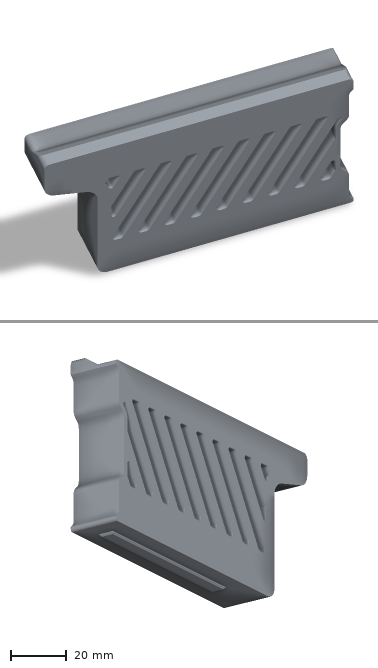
import cadquery as cq
import math

thickness = 20.0
length = 119.0
height = 66.0
ledge_step = 4.0
low_height = height - ledge_step
back_y = length / 2
nose_y = -length / 2

ramp_start_x = 8.9
ramp_end_x = 14.9
ledge_radius = 2.0
low_back_radius = 1.0

wall_y = -39.0
nose_bottom_z = 49.9
nose_root_z = 44.7
nose_tip_radius = 5.0
nose_root_radius = 6.0
bottom_corner_radius = 4.0

back_mid_z = low_height / 2
lip_thickness = 1.8
recess_depth = 1.8
notch_extra_depth = 3.2
notch_slope = 45
notch_half_height = 14.6
back_bend_radius = 3.0
lip_edge_radius = 1.0
recess_y = back_y - recess_depth
notch_y = recess_y - notch_extra_depth

window_bottom_z = 15.8
window_top_z = 49.9
wall_above_notch = 2.6
wall_at_notch = 2.0
end_wall = 5.2

slot_count = 11
slot_pitch = 10.0
slot_width = 5.0
slot_lean = 30
slot_top_radius = 1.01
slot_bottom_radius = 1.5
first_slot_y = 57.8

pad_height = 1.0
pad_width = 6.0
pad_back_y = 51.5
pad_length = 70.0
pad_edge = 0.6


def extrude_outline(points):
    """Extrude a (y, z) outline through the whole thickness."""
    return cq.Workplane("YZ").polyline(points).close().extrude(thickness)


def fillet_corners(body, corners, radius):
    """Round the edges along X that stand at the given (y, z) corners."""
    reach = 0.06
    for y, z in corners:
        box = cq.selectors.BoxSelector((-1.2, y - reach, z - reach), (thickness + 1.2, y + reach, z + reach))
        body = body.edges("|X").edges(box).fillet(radius)
    return body


def body_blank(top_z, back_radius):
    """Full-thickness plate with a flat top at top_z."""
    lip_top_z = low_height - lip_thickness
    recess_top_z = lip_top_z - recess_depth
    recess_bottom_z = lip_thickness + recess_depth
    notch_top_z = back_mid_z + notch_half_height
    notch_bottom_z = back_mid_z - notch_half_height
    bends = [
        (recess_y, recess_top_z),
        (recess_y, notch_top_z),
        (notch_y, notch_top_z - notch_extra_depth),
        (notch_y, notch_bottom_z + notch_extra_depth),
        (recess_y, notch_bottom_z),
        (recess_y, recess_bottom_z),
    ]
    outline = [
        (nose_y, nose_bottom_z),
        (nose_y, top_z),
        (back_y, top_z),
        (back_y, lip_top_z),
        *bends,
        (back_y, lip_thickness),
        (back_y, 0),
        (wall_y, 0),
        (wall_y, nose_root_z),
    ]
    body = extrude_outline(outline)
    body = fillet_corners(body, bends, back_bend_radius)
    body = fillet_corners(body, [(back_y, 0)], lip_edge_radius)
    body = fillet_corners(body, [(back_y, top_z)], back_radius)
    body = fillet_corners(body, [(nose_y, top_z)], ledge_radius)
    body = fillet_corners(body, [(nose_y, nose_bottom_z)], nose_tip_radius)
    body = fillet_corners(body, [(wall_y, nose_root_z)], nose_root_radius)
    return fillet_corners(body, [(wall_y, 0)], bottom_corner_radius)


def stepped_body():
    """Low plate joined to the part of the high plate under the ramp and high ledge."""
    ramp_slope = ledge_step / (ramp_end_x - ramp_start_x)
    ramp_foot_z = low_height - ramp_slope * ramp_start_x
    ramp_side = (
        cq.Workplane("XZ")
        .polyline([(0, ramp_foot_z), (ramp_end_x, height), (thickness, height), (thickness, ramp_foot_z)])
        .close()
        .extrude(length / 2, both=True)
    )
    low = body_blank(low_height, low_back_radius)
    high = body_blank(height, ledge_radius)
    return low.union(high.intersect(ramp_side))


def grille_window():
    """Block that limits the slots, keeping a wall to the notch and to the nose."""
    upper_back_y = recess_y - wall_above_notch
    notch_edge_y = notch_y - wall_at_notch
    end_edge_y = wall_y + end_wall
    corner_shift = wall_at_notch * math.tan(math.radians(notch_slope / 2))
    jog_bottom_z = back_mid_z + notch_half_height - notch_extra_depth + corner_shift
    jog_top_z = jog_bottom_z + (upper_back_y - notch_edge_y)

    nose_slope = math.atan2(nose_bottom_z - nose_root_z, wall_y - nose_y)
    root_tangent = nose_root_radius * math.tan((math.pi / 2 - nose_slope) / 2)
    root_centre_y = wall_y - nose_root_radius
    root_centre_z = nose_root_z - root_tangent

    window = extrude_outline([
        (upper_back_y, window_top_z),
        (upper_back_y, jog_top_z),
        (notch_edge_y, jog_bottom_z),
        (notch_edge_y, window_bottom_z),
        (end_edge_y, window_bottom_z),
        (end_edge_y, root_centre_z),
        (root_centre_y, root_centre_z),
        (root_centre_y, window_top_z),
    ])
    window = fillet_corners(window, [(notch_edge_y, jog_bottom_z)], back_bend_radius + wall_at_notch)
    root_wall = (
        cq.Workplane("YZ")
        .center(root_centre_y, root_centre_z)
        .circle(nose_root_radius + end_wall)
        .extrude(thickness)
    )
    return window.cut(root_wall)


def grille_slots():
    """Leaning slots trimmed to the window, rounded at the upper and lower ends."""
    window = grille_window()
    mid_z = (window_top_z + window_bottom_z) / 2
    half_height = (window_top_z - window_bottom_z) / 2
    half_shift = half_height * math.tan(math.radians(slot_lean))
    half_width = slot_width / 2
    slots = []
    for index in range(slot_count):
        y = first_slot_y - index * slot_pitch
        bar = extrude_outline([
            (y + half_shift + half_width, window_top_z),
            (y + half_shift - half_width, window_top_z),
            (y - half_shift - half_width, window_bottom_z),
            (y - half_shift + half_width, window_bottom_z),
        ])
        bar = bar.edges("|X").edges("<Z").fillet(slot_bottom_radius)
        slot = bar.intersect(window)
        slot = slot.edges("|X").edges(">Z").fillet(slot_top_radius)
        if slot.val().BoundingBox().zmin > window_bottom_z + slot_bottom_radius:
            slot = slot.edges("|X").edges("<Z").fillet(slot_top_radius)
        slots.append(slot)
    return slots


def foot_pad():
    """Shallow pad under the body with its lower edges chamfered."""
    return (
        cq.Workplane("XY")
        .center(thickness / 2, pad_back_y - pad_length / 2)
        .rect(pad_width, pad_length)
        .extrude(-pad_height)
        .faces("<Z")
        .edges()
        .chamfer(pad_edge)
    )


result = stepped_body().union(foot_pad())
for slot in grille_slots():
    result = result.cut(slot)